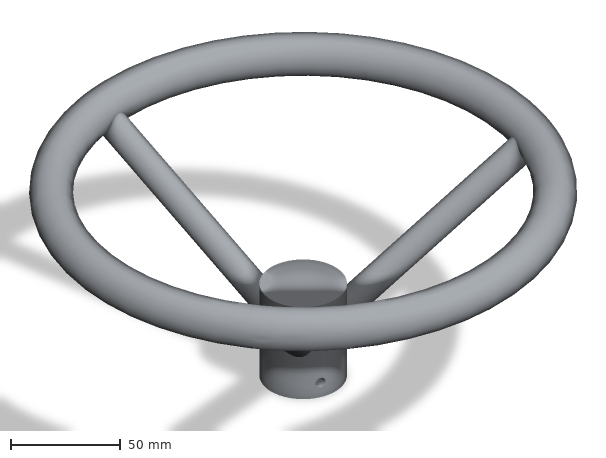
import cadquery as cq
import math

rim_outer_diameter = 250.0
rim_bar_diameter = 20.0
rim_center_radius = (rim_outer_diameter - rim_bar_diameter) / 2
overall_height = 110.0
rim_center_z = overall_height - rim_bar_diameter / 2

hub_diameter = 40.0
hub_height = 50.0

spoke_diameter = 14.0
spoke_count = 3
first_spoke_angle = 90.0
spoke_hub_z = 17.0

pin_hole_diameter = 5.0
pin_hole_z = 8.0


def make_rim():
    return cq.Solid.makeTorus(rim_center_radius, rim_bar_diameter / 2, cq.Vector(0, 0, rim_center_z))


def make_hub():
    return cq.Solid.makeCylinder(hub_diameter / 2, hub_height)


def make_spoke(angle):
    """Round bar from the hub axis to the rim center line, in the upright plane at this angle about Z."""
    hub_end = cq.Vector(0, 0, spoke_hub_z)
    rim_end = cq.Vector(
        rim_center_radius * math.cos(math.radians(angle)),
        rim_center_radius * math.sin(math.radians(angle)),
        rim_center_z,
    )
    span = rim_end - hub_end
    return cq.Solid.makeCylinder(spoke_diameter / 2, span.Length, hub_end, span)


def make_pin_hole():
    hole_start = cq.Vector(-hub_diameter / 2, 0, pin_hole_z)
    return cq.Solid.makeCylinder(pin_hole_diameter / 2, hub_diameter, hole_start, cq.Vector(1, 0, 0))


spokes = [make_spoke(first_spoke_angle + index * 360 / spoke_count) for index in range(spoke_count)]

wheel = make_hub().fuse(make_rim(), *spokes)
result = cq.Workplane(obj=wheel.cut(make_pin_hole()))